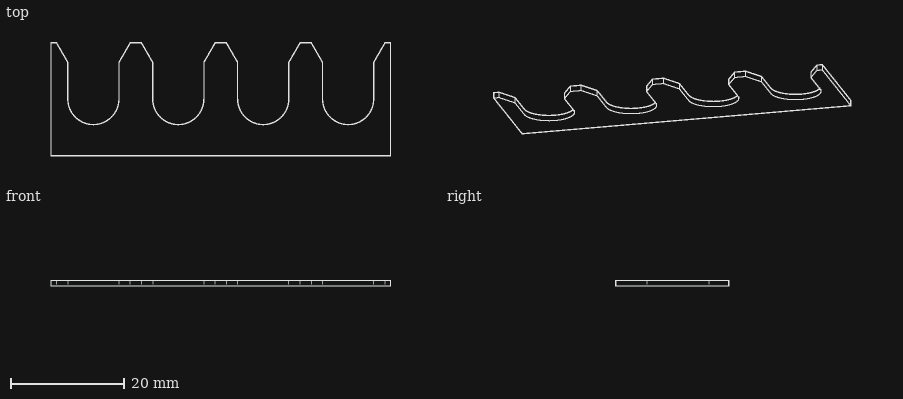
import cadquery as cq
import math

length = 60.0
depth = 20.0
thickness = 1.0

slot_count = 4
slot_pitch = length / slot_count
slot_width = 9.0
slot_radius = slot_width / 2
spine_depth = 5.5

tip_width = 2.0
taper_angle = 60.0
mouth_width = slot_pitch - tip_width
taper_depth = (mouth_width - slot_width) / 2 * math.tan(math.radians(taper_angle))


def slot_cutter(center_x):
    """Solid that removes one slot together with its flared mouth."""
    arc_center_y = spine_depth + slot_radius
    taper_start_y = depth - taper_depth
    left = center_x - slot_radius
    right = center_x + slot_radius
    return (
        cq.Workplane("XY")
        .moveTo(center_x - mouth_width / 2, depth)
        .lineTo(left, taper_start_y)
        .lineTo(left, arc_center_y)
        .threePointArc((center_x, spine_depth), (right, arc_center_y))
        .lineTo(right, taper_start_y)
        .lineTo(center_x + mouth_width / 2, depth)
        .close()
        .extrude(thickness)
    )


result = cq.Workplane("XY").box(length, depth, thickness, centered=False)
for index in range(slot_count):
    result = result.cut(slot_cutter((index + 0.5) * slot_pitch))